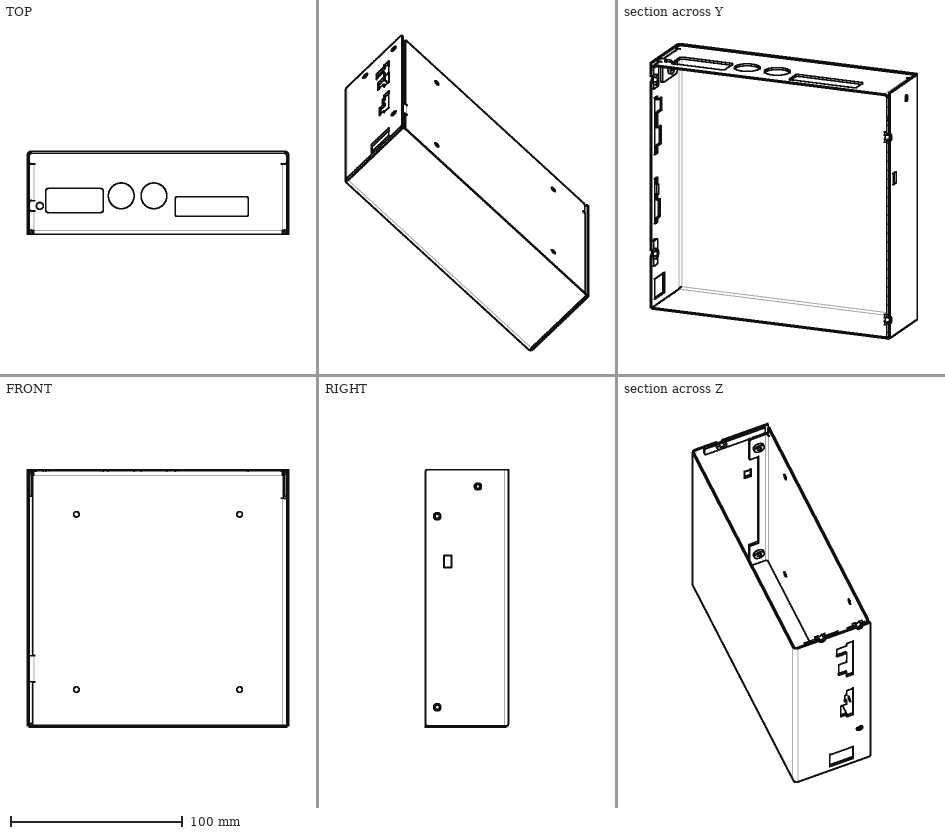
import cadquery as cq


WIDTH = 152.15
DEPTH = 48.46
HEIGHT = 149.96
SHEET = 1.2
BEND_INNER = 1.3
BEND_OUTER = BEND_INNER + SHEET
SLIT = 0.2
CORNER_RADIUS = 1.2

SIDE_BOTTOM = 0.7
SIDE_HOLE_DIA = 3.77

BASE_HALF = WIDTH / 2 - SHEET
BASE_BOTTOM = SHEET
BASE_TOP = HEIGHT - 0.75
BASE_BACK = DEPTH - SHEET
BEND_LINE = BASE_HALF - BEND_OUTER
PLATE_HALF = 73.0
SLIT_OVERRUN = 0.6

TAB_BOTTOM = 134.3
TAB_BACK = 40.9
LUG_FRONT = 13.6
LUG_BACK = 19.7
LOW_TAB_BOTTOM = 26.3
LOW_TAB_TOP = 41.7
FLANGE_DEPTH = 12.3
FLANGE_TOP = 133.2
FLANGE_PAD = 20.8
FLANGE_NARROW = 6.6

NUT_BORE_DIA = 2.5
NUT_SHANK_DIA = 4.22
NUT_HEAD_DIA = 6.3
NUT_HEAD = 1.5
SCREW_FRONT = 6.9
SCREW_BACK = 30.6
SCREW_HIGH = 140.1
SCREW_LOW = (LOW_TAB_BOTTOM + LOW_TAB_TOP) / 2

LEFT, RIGHT = -1, 1
SCREWS = [
    (LEFT, SCREW_BACK, SCREW_HIGH),
    (LEFT, SCREW_FRONT, SCREW_HIGH),
    (LEFT, SCREW_FRONT, SCREW_LOW),
    (RIGHT, SCREW_BACK, SCREW_HIGH),
    (RIGHT, SCREW_FRONT, FLANGE_TOP - FLANGE_PAD / 2),
    (RIGHT, SCREW_FRONT, BASE_BOTTOM + FLANGE_PAD / 2),
]

TOP_HOLE = (-68.8, (LUG_FRONT + LUG_BACK) / 2)
TOP_HOLE_DIA = 4.0
BUTTON_DIA = 15.0
BUTTON_Y = 22.5
BUTTON_X = (-21.4, -2.4)
WINDOWS = [
    (-65.4, -31.8, 12.7, 26.8, 1.7),
    (10.1, 52.5, 10.5, 21.9, 1.0),
]

MOUNT_HOLE_DIA = 3.2
MOUNT_PITCH_X = 95.0
MOUNT_PITCH_Z = 102.0
MOUNT_CENTRE = (0.0, 72.9)

PORT_FRONT = 10.9
PORT_BACK = 15.1
UPPER_PORT = (92.95, 127.6)
UPPER_RECESSES = [(97.2, 108.2, 20.2), (117.3, 125.1, 21.4)]
LOWER_PORT = (50.8, 78.2)
LOWER_RECESSES = [(53.1, 64.1, 18.8), (67.5, 73.6, 16.4)]
SOCKET = (4.9, 17.2)
SOCKET_BACK = 25.7
RIGHT_PORT = (UPPER_PORT[0], 99.8)
PORT_CORNER = 0.6

BEYOND = 5.0


def block(x0, x1, y0, y1, z0, z1):
    """Box between the given limits."""
    return cq.Workplane("XY").box(x1 - x0, y1 - y0, z1 - z0, centered=False).translate((x0, y0, z0))


def side_block(side, inner, outer, y0, y1, z0, z1):
    """Box at the left or right, between two distances from the middle plane."""
    x0, x1 = sorted((side * inner, side * outer))
    return block(x0, x1, y0, y1, z0, z1)


def side_cylinder(side, inner, outer, y, z, diameter):
    """Cylinder along X at the left or right, between two distances from the middle plane."""
    start = cq.Vector(side * inner, y, z)
    return cq.Workplane(cq.Solid.makeCylinder(diameter / 2, outer - inner, start, cq.Vector(side, 0, 0)))


def port_opening(z_range, recesses):
    """Narrow opening along the left wall with deeper recesses towards the back."""
    inner, outer = BASE_HALF - BEYOND, BASE_HALF + BEYOND
    opening = side_block(LEFT, inner, outer, PORT_FRONT, PORT_BACK, *z_range)
    opening = opening.edges("|X and >Y and >Z").fillet(PORT_CORNER)
    for z0, z1, back in recesses:
        recess = side_block(LEFT, inner, outer, PORT_FRONT, back, z0, z1)
        opening = opening.union(recess.edges("|X and >Y and >Z").fillet(PORT_CORNER))
    return opening


def make_cover():
    half = WIDTH / 2
    outside = block(-half, half, 0, DEPTH, 0, HEIGHT)
    outside = outside.edges(">Y and (|Z or <Z)").fillet(BEND_OUTER)
    inside = block(-BASE_HALF, BASE_HALF, -BEYOND, BASE_BACK, SHEET, HEIGHT + BEYOND)
    inside = inside.edges(">Y and (|Z or <Z)").fillet(BEND_INNER)
    cover = outside.cut(inside)

    bottom_half = BASE_HALF - SLIT
    for side in (LEFT, RIGHT):
        cover = cover.cut(side_block(side, BASE_HALF, half, 0, DEPTH, 0, SIDE_BOTTOM))
        cover = cover.cut(side_block(side, bottom_half, BASE_HALF, 0, DEPTH - BEND_OUTER, 0, SHEET))
        wall = side_block(side, BASE_HALF, half, 0, DEPTH, SIDE_BOTTOM, HEIGHT)
        cover = cover.cut(wall.cut(wall.edges("|X and <Y").fillet(CORNER_RADIUS)))
    flange = block(-bottom_half, bottom_half, 0, DEPTH, 0, SHEET)
    cover = cover.cut(flange.cut(flange.edges("|Z and <Y").fillet(CORNER_RADIUS)))

    for side, y, z in SCREWS:
        cover = cover.cut(side_cylinder(side, BASE_HALF, half, y, z, SIDE_HOLE_DIA))
    cover = cover.cut(port_opening(UPPER_PORT, UPPER_RECESSES))
    cover = cover.cut(port_opening(LOWER_PORT, LOWER_RECESSES))
    cover = cover.cut(side_block(LEFT, BASE_HALF, half, PORT_FRONT, SOCKET_BACK, *SOCKET))
    return cover.cut(side_block(RIGHT, BASE_HALF, half, PORT_FRONT, PORT_BACK, *RIGHT_PORT))


def hanging_tab(side, y0, y1):
    """Space of a tab folded down from the top plate."""
    space = side_block(side, BEND_LINE, BASE_HALF, y0, y1, TAB_BOTTOM, BASE_TOP)
    return space.edges("|X and <Z").fillet(CORNER_RADIUS)


def front_flange(side, z0, z1):
    """Space of a flange folded back from the front plate."""
    space = side_block(side, BEND_LINE, BASE_HALF, 0, FLANGE_DEPTH, z0, z1)
    return space.edges("|X and >Y").fillet(CORNER_RADIUS)


def top_lug(side, y0, y1):
    """Flat piece of the top plate beside the tabs, its corners following the bends of the cover."""
    lug = side_block(side, BEND_LINE, BASE_HALF, y0, y1, BASE_TOP - SHEET, BASE_TOP)
    outer_edges = ">X" if side == RIGHT else "<X"
    return lug.edges("|Z").edges(outer_edges).fillet(BEND_INNER)


def top_slit(side, y):
    """Relief cut across the top plate beside a hanging tab."""
    inner = BEND_LINE - SLIT_OVERRUN
    return side_block(side, inner, BASE_HALF, y, y + SLIT, TAB_BOTTOM, BASE_TOP)


def front_slit(side, z):
    """Relief cut across the front plate beside a flange."""
    inner = BEND_LINE - SLIT_OVERRUN
    return side_block(side, inner, BASE_HALF, 0, FLANGE_DEPTH, z, z + SLIT)


def cut_top_openings(base):
    for x0, x1, y0, y1, radius in WINDOWS:
        window = block(x0, x1, y0, y1, BASE_TOP - SHEET, BASE_TOP)
        base = base.cut(window.edges("|Z").fillet(radius))
    holes = [(TOP_HOLE, TOP_HOLE_DIA)]
    holes += [((x, BUTTON_Y), BUTTON_DIA) for x in BUTTON_X]
    for (x, y), diameter in holes:
        start = cq.Vector(x, y, BASE_TOP - SHEET)
        base = base.cut(cq.Workplane(cq.Solid.makeCylinder(diameter / 2, SHEET, start)))
    return base


def cut_mount_holes(base):
    x_mid, z_mid = MOUNT_CENTRE
    for x in (x_mid - MOUNT_PITCH_X / 2, x_mid + MOUNT_PITCH_X / 2):
        for z in (z_mid - MOUNT_PITCH_Z / 2, z_mid + MOUNT_PITCH_Z / 2):
            hole = cq.Solid.makeCylinder(MOUNT_HOLE_DIA / 2, SHEET, cq.Vector(x, 0, z), cq.Vector(0, 1, 0))
            base = base.cut(cq.Workplane(hole))
    return base


def make_base():
    folded_edges = "(<Y and |Z) or (<Y and >Z) or (>Z and |Y)"
    outside = block(-BASE_HALF, BASE_HALF, 0, BASE_BACK, BASE_BOTTOM, BASE_TOP)
    outside = outside.edges(folded_edges).fillet(BEND_OUTER)
    inner_half = BASE_HALF - SHEET
    inside = block(-inner_half, inner_half, SHEET, BASE_BACK + BEYOND, BASE_BOTTOM - BEYOND, BASE_TOP - SHEET)
    inside = inside.edges(folded_edges).fillet(BEND_INNER)
    sheet = outside.cut(inside)

    base = sheet.intersect(block(-BEND_LINE, BEND_LINE, 0, DEPTH, 0, HEIGHT))
    notch = side_block(
        RIGHT, BEND_LINE, BASE_HALF, FLANGE_NARROW, FLANGE_DEPTH,
        BASE_BOTTOM + FLANGE_PAD, FLANGE_TOP - FLANGE_PAD,
    )
    folds = [
        hanging_tab(LEFT, BEND_OUTER, LUG_FRONT),
        hanging_tab(LEFT, LUG_BACK, TAB_BACK),
        hanging_tab(RIGHT, BEND_OUTER, TAB_BACK),
        front_flange(LEFT, LOW_TAB_BOTTOM, LOW_TAB_TOP),
        front_flange(RIGHT, BASE_BOTTOM, FLANGE_TOP).cut(notch),
    ]
    for space in folds:
        base = base.union(sheet.intersect(space))

    plate_top = BASE_TOP - BEND_OUTER
    for side, z0, z1 in [
        (LEFT, BASE_BOTTOM, LOW_TAB_BOTTOM),
        (LEFT, LOW_TAB_TOP, plate_top),
        (RIGHT, FLANGE_TOP, plate_top),
    ]:
        base = base.union(side_block(side, BEND_LINE, PLATE_HALF, 0, SHEET, z0, z1))
    for side, y0, y1 in [
        (LEFT, LUG_FRONT, LUG_BACK),
        (LEFT, TAB_BACK, BASE_BACK),
        (RIGHT, TAB_BACK, BASE_BACK),
    ]:
        base = base.union(top_lug(side, y0, y1))

    for side, y in [(LEFT, LUG_FRONT), (LEFT, LUG_BACK - SLIT), (LEFT, TAB_BACK), (RIGHT, TAB_BACK)]:
        base = base.cut(top_slit(side, y))
    for side, z in [(LEFT, LOW_TAB_BOTTOM - SLIT), (LEFT, LOW_TAB_TOP), (RIGHT, FLANGE_TOP)]:
        base = base.cut(front_slit(side, z))

    base = cut_mount_holes(cut_top_openings(base))
    for side, y, z in SCREWS:
        base = base.cut(side_cylinder(side, inner_half, BASE_HALF, y, z, NUT_SHANK_DIA))
    return base


def make_nut(side, y, z):
    """Nut with its shank filling the tab and its head on the inner face."""
    seat = BASE_HALF - SHEET
    head = side_cylinder(side, seat - NUT_HEAD, seat, y, z, NUT_HEAD_DIA)
    shank = side_cylinder(side, seat, BASE_HALF, y, z, NUT_SHANK_DIA)
    bore = side_cylinder(side, seat - NUT_HEAD, BASE_HALF, y, z, NUT_BORE_DIA)
    return head.union(shank).cut(bore)


cover = make_cover()
base = make_base()
nuts = [make_nut(side, y, z) for side, y, z in SCREWS]

result = cq.Compound.makeCompound([cover.val(), base.val(), *[nut.val() for nut in nuts]])